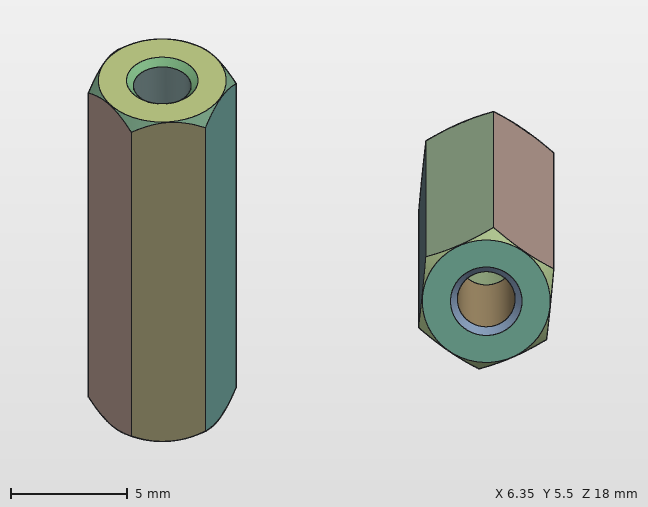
import cadquery as cq
import math

length = 18.0
across_flats = 5.5
across_corners = across_flats / math.cos(math.radians(30))

end_face_diameter = 5.47
corner_chamfer_angle = 45.0
envelope_clearance = 0.18

hole_diameter = 2.47
countersink_diameter = 3.06
countersink_angle = 90.0
hole_depth = 6.48
drill_point_angle = 118.0


def chamfered_envelope():
    """Revolved solid whose conical ends trim the hexagon corners."""
    end_radius = end_face_diameter / 2
    outer_radius = across_corners / 2 + envelope_clearance
    drop = (outer_radius - end_radius) * math.tan(math.radians(corner_chamfer_angle))
    top = length / 2
    return (
        cq.Workplane("XZ")
        .moveTo(0, -top)
        .lineTo(end_radius, -top)
        .lineTo(outer_radius, -top + drop)
        .lineTo(outer_radius, top - drop)
        .lineTo(end_radius, top)
        .lineTo(0, top)
        .close()
        .revolve(360, (0, 0), (0, 1))
    )


def top_hole():
    """Cutting solid for the countersunk blind hole in the top end."""
    radius = hole_diameter / 2
    mouth_radius = countersink_diameter / 2
    mouth_depth = (mouth_radius - radius) / math.tan(math.radians(countersink_angle / 2))
    point_depth = radius / math.tan(math.radians(drill_point_angle / 2))
    top = length / 2
    return (
        cq.Workplane("XZ")
        .moveTo(0, top)
        .lineTo(mouth_radius, top)
        .lineTo(radius, top - mouth_depth)
        .lineTo(radius, top - hole_depth)
        .lineTo(0, top - hole_depth - point_depth)
        .close()
        .revolve(360, (0, 0), (0, 1))
    )


hexagon = (
    cq.Workplane("XY")
    .workplane(offset=-length / 2)
    .polygon(6, across_corners)
    .extrude(length)
)

hole = top_hole()
result = hexagon.intersect(chamfered_envelope()).cut(hole).cut(hole.mirror("XY"))